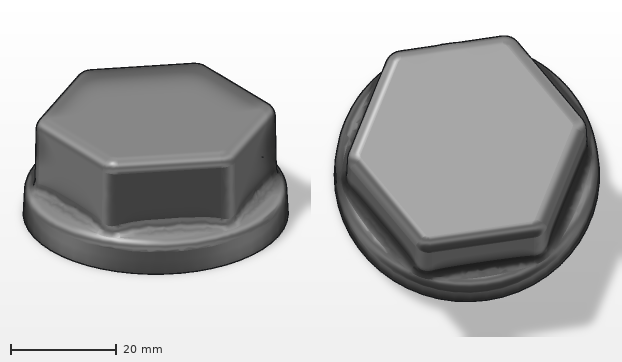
import cadquery as cq
import math

flange_base_radius = 25.25
flange_height = 6.95
flange_draft = 3.0
rim_radius = 2.5

height = 21.9
head_sides = 6
head_base_across_flats = 41.3
head_base_corner_radius = 3.65
head_draft = 1.0
top_edge_radius = 2.5

root_radius = 2.5


def make_flange():
    top_radius = flange_base_radius - flange_height * math.tan(math.radians(flange_draft))
    profile = (
        cq.Workplane("XZ")
        .lineTo(flange_base_radius, 0)
        .lineTo(top_radius, flange_height)
        .lineTo(0, flange_height)
        .close()
    )
    disc = profile.revolve(360, (0, 0), (0, 1))
    return disc.faces(">Z").edges().fillet(rim_radius)


def make_head():
    core_across_flats = head_base_across_flats - 2 * head_base_corner_radius
    core_across_corners = core_across_flats / math.cos(math.pi / head_sides)
    head = (
        cq.Workplane("XY")
        .transformed(rotate=(0, 0, 90))
        .polygon(head_sides, core_across_corners)
        .offset2D(head_base_corner_radius)
        .extrude(height, taper=head_draft)
    )
    return head.faces(">Z").edges().fillet(top_edge_radius)


def is_root_edge(edge):
    band = rim_radius / 2
    box = edge.BoundingBox()
    return box.zmin > flange_height - band and box.zmax < flange_height + band


body = make_flange().union(make_head())
root_edges = [edge for edge in body.edges().vals() if is_root_edge(edge)]
result = body.newObject(root_edges).fillet(root_radius)